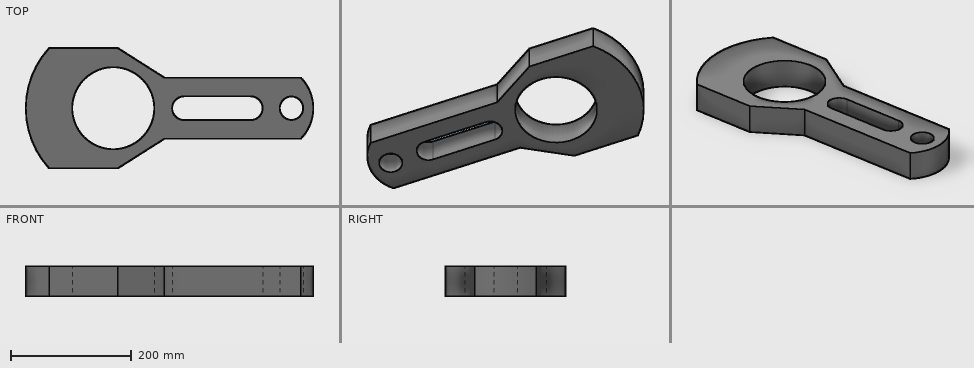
import cadquery as cq

length = 478.05
head_width = 200.15
thickness = 50.0

head_left = -145.5
head_end_depth = 39.0
head_flat_length = 114.0
taper_length = 77.5
arm_width = 102.0
arm_end_depth = 21.0

bore_diameter = 136.0
slot_center_x = 173.0
slot_length = 150.0
slot_width = 39.0
pin_hole_diameter = 38.5
pin_hole_to_tip = 36.5

tip_x = head_left + length
head_corner_x = head_left + head_end_depth
taper_start_x = head_corner_x + head_flat_length
taper_end_x = taper_start_x + taper_length
arm_corner_x = tip_x - arm_end_depth
pin_hole_x = tip_x - pin_hole_to_tip
head_half = head_width / 2
arm_half = arm_width / 2


def make_plate():
    """Wide head tapering to a narrow arm, both with rounded ends."""
    return (
        cq.Workplane("XY")
        .moveTo(head_corner_x, -head_half)
        .lineTo(taper_start_x, -head_half)
        .lineTo(taper_end_x, -arm_half)
        .lineTo(arm_corner_x, -arm_half)
        .threePointArc((tip_x, 0), (arm_corner_x, arm_half))
        .lineTo(taper_end_x, arm_half)
        .lineTo(taper_start_x, head_half)
        .lineTo(head_corner_x, head_half)
        .threePointArc((head_left, 0), (head_corner_x, -head_half))
        .close()
        .extrude(thickness)
    )


def through_hole(center_x, diameter):
    """Cutter for a round hole through the plate."""
    return cq.Workplane("XY").center(center_x, 0).circle(diameter / 2).extrude(thickness)


def through_slot():
    """Cutter for the round-ended slot along the arm."""
    return cq.Workplane("XY").center(slot_center_x, 0).slot2D(slot_length, slot_width).extrude(thickness)


result = (
    make_plate()
    .cut(through_hole(0, bore_diameter))
    .cut(through_slot())
    .cut(through_hole(pin_hole_x, pin_hole_diameter))
)